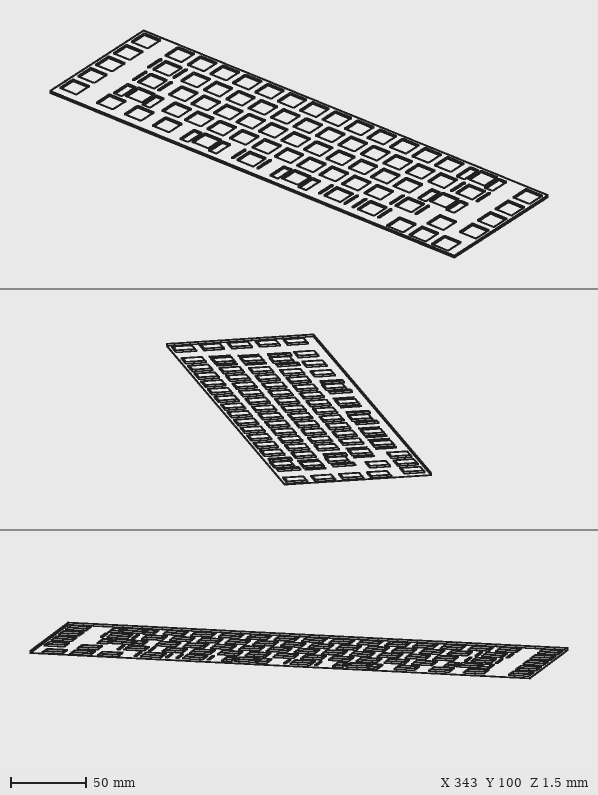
import cadquery as cq

length = 343
columns = 18
rows = 5.25
pitch = length / columns
depth = rows * pitch
thickness = 1.5

switch_margin = 2.55
switch_side = pitch - 2 * switch_margin
corner_radius = 0.5
slot_width = 1.5
slot_gap = 3.0
slot_offset = switch_side / 2 + slot_gap + slot_width / 2
stabilizer_width = 7
stabilizer_height = 15.0
stabilizer_offset = 12.0
stabilizer_drop = 1.45

row_1, row_2, row_3, row_4, row_5 = [row + 0.5 for row in range(5)]
up_arrow_row = row_4 + 0.25
arrow_row = row_5 + 0.25

left_column = 0.5
right_column = columns - 0.5
up_arrow_column = 16.25


def key_run(first, count, row):
    """Centres of adjacent one-pitch keys along a row."""
    return [(first + step, row) for step in range(count)]


plain_keys = (
    [(left_column, row) for row in (row_1, row_2, row_3, row_4, row_5)]
    + [(right_column, row) for row in (row_1, row_2, row_3, row_4)]
    + key_run(2, 13, row_1)
    + key_run(3.5, 12, row_2)
    + key_run(3.75, 11, row_3)
    + key_run(4.25, 10, row_4)
    + [(2.125, row_5), (3.375, row_5), (4.625, row_5)]
    + [(up_arrow_column, up_arrow_row)]
    + key_run(up_arrow_column - 1, 3, arrow_row)
)
slotted_keys = [
    (2.25, row_2),
    (15.75, row_2),
    (2.375, row_3),
    (14.625, row_4),
    (8.375, row_5),
    (12.25, row_5),
    (13.75, row_5),
]
stabilized_keys = [
    (15.5, row_1),
    (15.375, row_3),
    (2.625, row_4),
    (6.375, row_5),
    (10.375, row_5),
]


def plate_position(key):
    """Key centre in plate coordinates, with the plate centred on the origin."""
    column, row = key
    return column * pitch - length / 2, depth / 2 - row * pitch


def openings(centres, width, height):
    """Rounded rectangular cutters through the plate."""
    blanks = cq.Workplane("XY").pushPoints(centres).rect(width, height).extrude(thickness)
    return blanks.edges("|Z").fillet(corner_radius)


def beside(keys, offset, drop=0):
    """Mirrored pairs of points left and right of each key centre."""
    points = []
    for x, y in map(plate_position, keys):
        points += [(x - offset, y - drop), (x + offset, y - drop)]
    return points


switch_centres = [plate_position(key) for key in plain_keys + slotted_keys + stabilized_keys]
slot_centres = beside(slotted_keys, slot_offset)
stabilizer_centres = beside(stabilized_keys, stabilizer_offset, stabilizer_drop)

result = (
    cq.Workplane("XY")
    .rect(length, depth)
    .extrude(thickness)
    .cut(openings(switch_centres, switch_side, switch_side))
    .cut(openings(slot_centres, slot_width, switch_side))
    .cut(openings(stabilizer_centres, stabilizer_width, stabilizer_height))
)